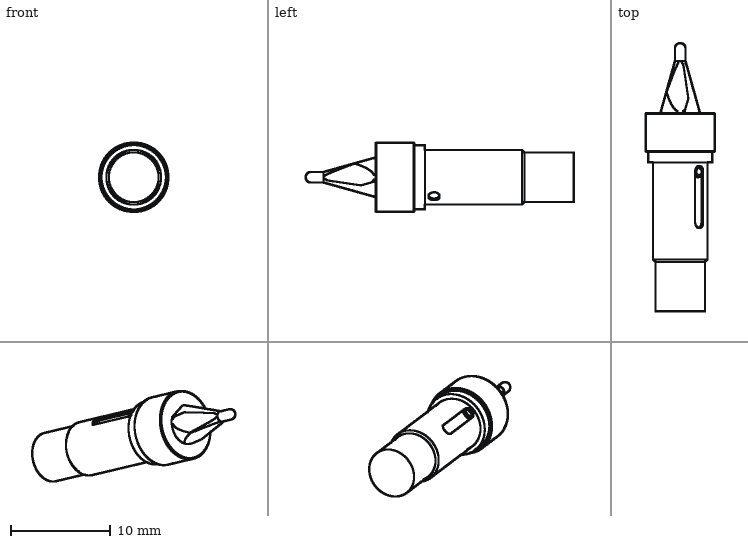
import cadquery as cq

OVERALL_LENGTH = 27.0
SLEEVE_REAR = 5.0
COLLAR_REAR = 14.98
HEAD_REAR = 16.05
HEAD_FRONT = 19.98
FOLD_POSITION = 21.45
CONE_START = 22.09
TIP_ROD_START = 25.2

SHAFT_RADIUS = 2.5
SLEEVE_RADIUS = 2.75
COLLAR_RADIUS = 3.25
HEAD_DIAMETER = 7.0
HEAD_RADIUS = HEAD_DIAMETER / 2
HEAD_CHAMFER = 0.1
TIP_BASE_RADIUS = 1.97
TIP_ROD_RADIUS = 0.55
TIP_ROUNDING = 0.5

FACET_BASE_DISTANCE = 2.0
FACET_TOP_DISTANCE = TIP_ROD_RADIUS
DIAGONAL_BASE_DISTANCE = 1.7
DIAGONAL_TOP_DISTANCE = 0.57

PIN_RADIUS = 0.57
PIN_AXIS_POSITION = 14.07
PIN_ANGLE = 45.0
PIN_OUTER_END = 2.67
PIN_INNER_END = 0.0
PIN_LENGTH = PIN_OUTER_END - PIN_INNER_END
PIN_CHAMFER_HEIGHT = 0.14
PIN_CHAMFER_WIDTH = 0.2
SLOT_LENGTH = 6.25
SLOT_CENTER = PIN_AXIS_POSITION + PIN_RADIUS - SLOT_LENGTH / 2

CUT_SIZE = 10.8


def cylinder(radius, start, end):
    """Round bar along Y between two positions."""
    return cq.Workplane("XZ", origin=(0, start, 0)).circle(radius).extrude(start - end)


def turn(body, angle):
    """Turn a body about the Y axis, from +Z toward +X."""
    return body.rotate((0, 0, 0), (0, 1, 0), angle)


def facet_cutter(profile, angle):
    """Material outside a facet profile of (y, distance) points, turned to face the given angle."""
    outline = profile + [(profile[-1][0], CUT_SIZE), (profile[0][0], CUT_SIZE)]
    cutter = cq.Workplane("YZ").polyline(outline).close().extrude(CUT_SIZE, both=True)
    return turn(cutter, angle)


def make_tip():
    """Four-sided taper with two folded diagonal facets, ending in a round-nosed rod."""
    half_section = [
        (0, HEAD_FRONT),
        (TIP_BASE_RADIUS, HEAD_FRONT),
        (TIP_BASE_RADIUS, CONE_START),
        (TIP_ROD_RADIUS, TIP_ROD_START),
        (0, TIP_ROD_START),
    ]
    taper = cq.Workplane("XY").polyline(half_section).close().revolve(360, (0, 0, 0), (0, 1, 0))
    side_profile = [(HEAD_FRONT, FACET_BASE_DISTANCE), (TIP_ROD_START, FACET_TOP_DISTANCE)]
    for angle in (0, 90, 180, 270):
        taper = taper.cut(facet_cutter(side_profile, angle))
    diagonal_profile = [
        (HEAD_FRONT, DIAGONAL_BASE_DISTANCE),
        (FOLD_POSITION, DIAGONAL_BASE_DISTANCE),
        (TIP_ROD_START, DIAGONAL_TOP_DISTANCE),
    ]
    for angle in (PIN_ANGLE, PIN_ANGLE + 180):
        taper = taper.cut(facet_cutter(diagonal_profile, angle))
    rod = cylinder(TIP_ROD_RADIUS, TIP_ROD_START, OVERALL_LENGTH)
    rod = rod.faces(">Y").edges().fillet(TIP_ROUNDING)
    return taper.union(rod)


def make_pin_blank():
    """Plain round pin on the diagonal axis, also the shape of its blind hole."""
    blank = cq.Workplane("XY", origin=(0, PIN_AXIS_POSITION, PIN_INNER_END))
    return blank.circle(PIN_RADIUS).extrude(PIN_LENGTH)


def make_pin():
    """Cross pin with a chamfered outer end."""
    pin = make_pin_blank().faces(">Z").edges().chamfer(PIN_CHAMFER_HEIGHT, PIN_CHAMFER_WIDTH)
    return turn(pin, PIN_ANGLE)


def make_plunger():
    """Shaft, head and tip in one piece, with a blind hole for the cross pin."""
    shaft = cylinder(SHAFT_RADIUS, 0, HEAD_REAR)
    head = cylinder(HEAD_RADIUS, HEAD_REAR, HEAD_FRONT).edges().chamfer(HEAD_CHAMFER)
    return shaft.union(head).union(make_tip()).cut(turn(make_pin_blank(), PIN_ANGLE))


def make_sleeve():
    """Collared tube with a slot for the pin and a round hole opposite."""
    tube = cylinder(SLEEVE_RADIUS, SLEEVE_REAR, COLLAR_REAR)
    tube = tube.faces("<Y").edges().chamfer(SLEEVE_RADIUS - SHAFT_RADIUS)
    collar = cylinder(COLLAR_RADIUS, COLLAR_REAR, HEAD_REAR)
    sleeve = tube.union(collar).cut(cylinder(SHAFT_RADIUS, SLEEVE_REAR, HEAD_REAR))
    slot = cq.Workplane("XY", origin=(0, SLOT_CENTER, 0)).slot2D(SLOT_LENGTH, 2 * PIN_RADIUS, 90)
    slot = slot.extrude(CUT_SIZE)
    hole = cq.Workplane("XY", origin=(0, PIN_AXIS_POSITION, 0)).circle(PIN_RADIUS).extrude(-CUT_SIZE)
    return sleeve.cut(turn(slot, PIN_ANGLE)).cut(turn(hole, PIN_ANGLE))


plunger = make_plunger()
sleeve = make_sleeve()
pin = make_pin()

result = cq.Compound.makeCompound([plunger.solids().val(), sleeve.solids().val(), pin.solids().val()])